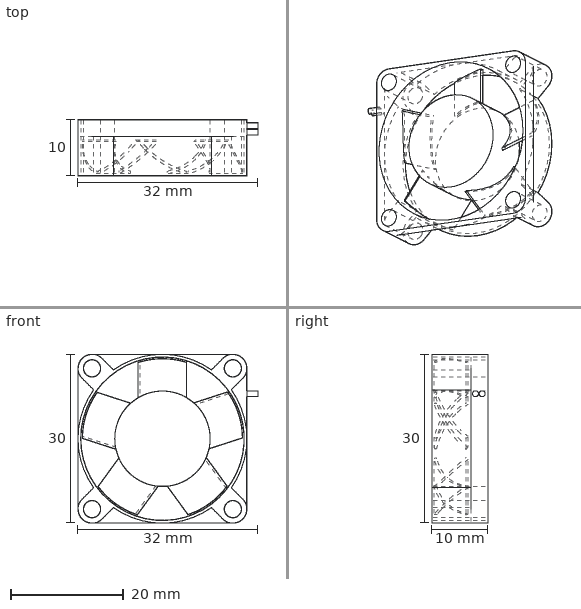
import cadquery as cq
import math

overall_width = 32
side = 30.0
depth = 10.0
flange_thickness = 3.0
bore_radius = 14.5
corner_radius = 2.5
screw_hole_diameter = 3.0
lug_count = 4
lug_offset = side / 2 - corner_radius

wire_diameter = 1.05
wire_end = overall_width - side / 2
wire_embedment = 0.95
wire_root = side / 2 - wire_embedment
wire_height = 8
wire_count = 2
wire_pitch = 1.2
first_wire_setback = 1.05

hub_radius = 8.48
blade_count = 5
blade_tip_radius = 14.25
blade_embedment = 1.92
blade_root_radius = hub_radius - blade_embedment
blade_front_x = 3.97
blade_back_x = -4.35
blade_front = 0.4
blade_back = 6.08
blade_thickness = 0.48
blade_sagitta = 0.8


def along_y(start):
    """Workplane facing +Y at the given depth; its local axes are X mirrored and Z."""
    return cq.Workplane("XZ", origin=(0, start, 0)).transformed(rotate=(0, 180, 0))


def make_lug(angle):
    """Rounded arm from the ring out to one screw hole."""
    reach = lug_offset * math.sqrt(2)
    arm = along_y(0).center(reach / 2, 0).rect(reach, 2 * corner_radius).extrude(depth)
    tip = along_y(0).center(reach, 0).circle(corner_radius).extrude(depth)
    return arm.union(tip).rotate((0, 0, 0), (0, 1, 0), angle)


def make_wire(setback):
    return (
        cq.Workplane("YZ", origin=(wire_root, depth - setback, wire_height))
        .circle(wire_diameter / 2)
        .extrude(wire_end - wire_root)
    )


def make_frame():
    flange = (
        along_y(depth - flange_thickness)
        .rect(side, side)
        .extrude(flange_thickness)
        .edges("|Y")
        .fillet(corner_radius)
    )
    frame = flange.union(along_y(0).circle(side / 2).extrude(depth))
    for corner in range(lug_count):
        frame = frame.union(make_lug(45 + corner * 360 / lug_count))
    frame = frame.cut(along_y(0).circle(bore_radius).extrude(depth))
    screw_holes = (
        along_y(0)
        .rect(2 * lug_offset, 2 * lug_offset, forConstruction=True)
        .vertices()
        .circle(screw_hole_diameter / 2)
        .extrude(depth)
    )
    frame = frame.cut(screw_holes)
    for index in range(wire_count):
        frame = frame.union(make_wire(first_wire_setback + index * wire_pitch))
    return frame


def make_blade():
    """Blade pointing along +Z: a thin arc section, bulging to -X and -Y.

    Its front edge is rounded and its tip follows a cylinder about the hub axis.
    """
    run = blade_front_x - blade_back_x
    rise = blade_back - blade_front
    chord = math.hypot(run, rise)
    arc_radius = (chord**2 / 4 + blade_sagitta**2) / (2 * blade_sagitta)
    middle = math.atan2(-run, -rise)
    half_sweep = math.asin(chord / 2 / arc_radius)
    to_center = arc_radius - blade_sagitta
    center_x = (blade_front_x + blade_back_x) / 2 - to_center * math.cos(middle)
    center_y = (blade_front + blade_back) / 2 - to_center * math.sin(middle)

    def arc_point(radius, turn):
        angle = middle + turn
        return (center_x + radius * math.cos(angle), center_y + radius * math.sin(angle))

    half_thickness = blade_thickness / 2
    middle_radius = arc_radius - half_thickness
    nose_turn = half_sweep + half_thickness / middle_radius
    inner_radius = arc_radius - blade_thickness
    section = (
        cq.Workplane("XY", origin=(0, 0, blade_root_radius))
        .moveTo(*arc_point(arc_radius, -half_sweep))
        .threePointArc(arc_point(arc_radius, 0), arc_point(arc_radius, half_sweep))
        .threePointArc(arc_point(middle_radius, nose_turn), arc_point(inner_radius, half_sweep))
        .threePointArc(arc_point(inner_radius, 0), arc_point(inner_radius, -half_sweep))
        .close()
    )
    blade = section.extrude(blade_tip_radius - blade_root_radius)
    return blade.intersect(along_y(0).circle(blade_tip_radius).extrude(depth))


def make_rotor():
    rotor = along_y(0).circle(hub_radius).extrude(depth)
    blade = make_blade()
    for index in range(blade_count):
        rotor = rotor.union(blade.rotate((0, 0, 0), (0, 1, 0), index * 360 / blade_count))
    return rotor


frame = make_frame()
rotor = make_rotor()
result = cq.Compound.makeCompound([frame.val(), rotor.val()])